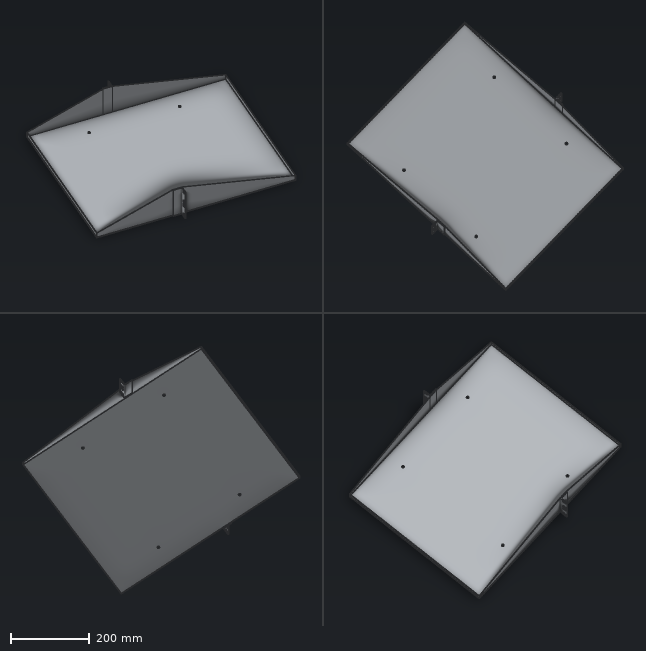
import cadquery as cq

tray_length = 559.0
tray_width = 438.0
sheet = 1.4
lip_depth = 14.0
lip_height = sheet + lip_depth
height = 87.0

overall_width = 483.0
bracket_sheet = 2.5
bend_radius = 1.5
bracket_back = -39.0
bracket_depth = 25.5
bracket_front = bracket_back - bracket_depth

hole_diameter = 6.0
hole_spacing_x = 336.5
hole_spacing_y = 254.0

slot_length = 12.0
slot_width = 6.0
slot_spacing_x = 466.5
inner_slot_pitch = 13.0
outer_slot_pitch = 76.5


def make_tray():
    """Pan with its walls cut to the side profile, and four floor holes."""
    half_length = tray_length / 2
    side_profile = [
        (-half_length, 0),
        (half_length, 0),
        (half_length, lip_height),
        (bracket_back, height),
        (bracket_front, height),
        (-half_length, lip_height),
    ]
    blank = cq.Workplane("YZ").polyline(side_profile).close().extrude(tray_width / 2, both=True)
    cavity = (
        cq.Workplane("XY", origin=(0, 0, sheet))
        .rect(tray_width - 2 * sheet, tray_length - 2 * sheet)
        .extrude(height)
    )
    floor_holes = (
        cq.Workplane("XY")
        .rect(hole_spacing_x, hole_spacing_y, forConstruction=True)
        .vertices()
        .circle(hole_diameter / 2)
        .extrude(sheet)
    )
    return blank.cut(cavity).cut(floor_holes)


def make_bracket(side):
    """Bent angle with four slots; side is -1 for the -X bracket, +1 for the +X bracket."""
    inner_x = side * tray_width / 2
    leg_x = inner_x + side * bracket_sheet
    tip_x = side * overall_width / 2
    flange_front = bracket_back - bracket_sheet
    angle = (
        cq.Workplane("XY")
        .moveTo(inner_x, bracket_back)
        .lineTo(tip_x, bracket_back)
        .lineTo(tip_x, flange_front)
        .lineTo(leg_x + side * bend_radius, flange_front)
        .radiusArc((leg_x, flange_front - bend_radius), -side * bend_radius)
        .lineTo(leg_x, bracket_front)
        .lineTo(inner_x, bracket_front)
        .close()
        .extrude(height)
    )
    slot_heights = [
        height / 2 + end * pitch / 2
        for end in (-1, 1)
        for pitch in (inner_slot_pitch, outer_slot_pitch)
    ]
    slots = (
        cq.Workplane("XZ", origin=(0, bracket_back, 0))
        .pushPoints([(side * slot_spacing_x / 2, z) for z in slot_heights])
        .slot2D(slot_length, slot_width)
        .extrude(bracket_sheet)
    )
    return angle.cut(slots)


tray = make_tray()
brackets = [make_bracket(side) for side in (-1, 1)]

result = cq.Compound.makeCompound([tray.val(), *[bracket.val() for bracket in brackets]])